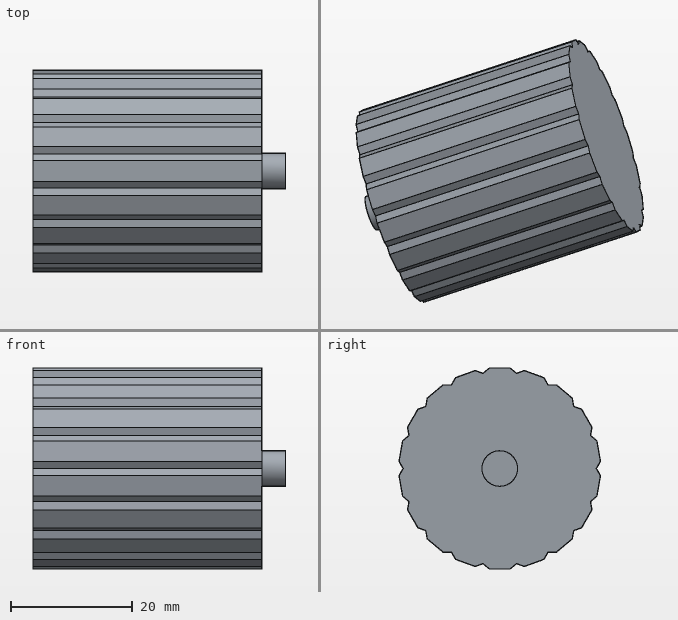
import cadquery as cq
import math

overall_length = 41.46
drum_length = 37.59
shaft_diameter = 5.84

tooth_count = 18
flat_to_flat = 33.02
tooth_flat_width = 3.425
valley_radius = 15.875

tooth_pitch = 360 / tooth_count
tooth_flat_radius = flat_to_flat / 2
shaft_length = overall_length - drum_length


def polar_point(radius, angle):
    """Point at a radius and an angle in degrees, measured from +Y toward +Z."""
    radians = math.radians(angle)
    return (radius * math.cos(radians), radius * math.sin(radians))


def drum_outline():
    """Closed outline: two flat corners and the following V bottom per tooth."""
    half_flat = tooth_flat_width / 2
    corner_radius = math.hypot(tooth_flat_radius, half_flat)
    corner_angle = math.degrees(math.atan2(half_flat, tooth_flat_radius))
    first_tooth_angle = 90
    points = []
    for tooth in range(tooth_count):
        center_angle = first_tooth_angle + tooth * tooth_pitch
        points.append(polar_point(corner_radius, center_angle - corner_angle))
        points.append(polar_point(corner_radius, center_angle + corner_angle))
        points.append(polar_point(valley_radius, center_angle + tooth_pitch / 2))
    return points


def make_drum():
    """Fluted drum from X = 0 along +X."""
    return cq.Workplane("YZ").polyline(drum_outline()).close().extrude(drum_length)


def make_shaft():
    """Plain round stub on the +X end of the drum."""
    end_face = cq.Workplane("YZ").workplane(offset=drum_length)
    return end_face.circle(shaft_diameter / 2).extrude(shaft_length)


result = make_drum().union(make_shaft())